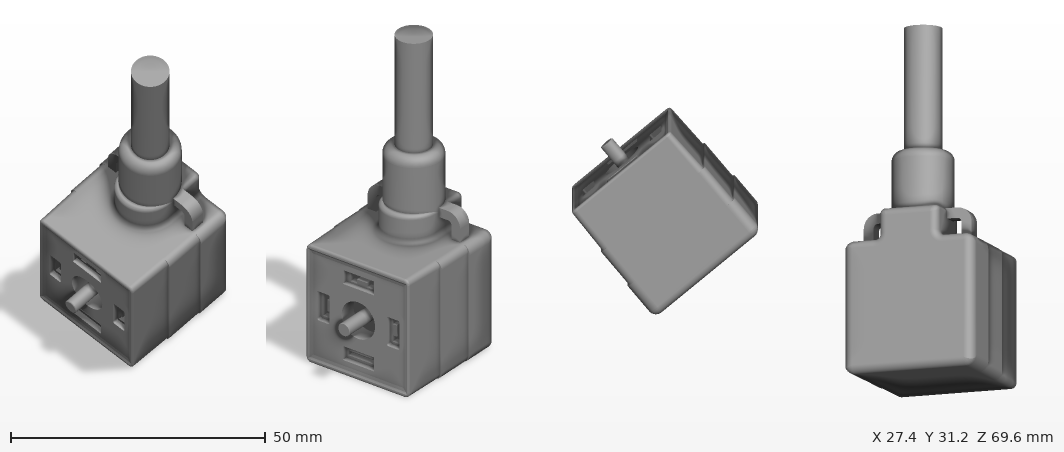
import cadquery as cq

height = 26.5
mid_z = height / 2
back_y = 8.35
step_y = 0.0
second_step_y = -8.6
face_y = -18.5
rear_width, rear_corner = 27.4, 2.0
middle_width, middle_corner = 26.6, 1.6
front_width, front_corner = 25.75, 1.3
face_width, face_corner = 25.2, 1.1
back_round = 1.5
back_corner_round = 1.95
face_round = 0.5

rim_width, rim_height = 24.35, 24.9
border_width, border_height = 23.5, 24.1
panel_width, panel_height = 22.1, 22.75
border_depth = 0.3
panel_depth = 0.4
panel_y = face_y + panel_depth

neck_radius = 6.2
neck_front_center_y = -1.25
neck_top = 32.65
neck_round = 0.9
foot_round = 1.05
grip_diameter = 12.4
grip_top = 44.95
grip_round = 2.0
cable_diameter = 7.6
cable_top = 69.6

loop_width = 22.7
loop_thickness = 2.1
loop_depth = 3.0
loop_radius = 3.0

screw_hole_diameter = 8.2
screw_hole_depth = 3.9
screw_diameter = 2.9
screw_tip_y = -22.8
screw_chamfer = 0.15

slot_depth = 1.2
contact_depth = 1.4
slot_offset = 8.55
side_slot_width, side_slot_height, side_slot_corner = 3.05, 6.55, 0.4
side_contact_width, side_contact_height = 2.0, 5.3
side_key_width, side_key_height = 1.0, 2.5
end_slot_width, end_slot_height = 7.65, 3.1
top_contact_width, top_contact_height = 5.6, 2.2
top_key_width, top_key_height = 2.5, 0.9
bottom_contact_width, bottom_contact_height = 6.75, 1.1
bottom_contact_z = 4.4


def face_plane(y, x=0.0, z=mid_z):
    """Plane with local x along X, local y along Z, extruding toward -Y."""
    return cq.Workplane(cq.Plane((x, y, z), (1, 0, 0), (0, -1, 0)))


def section(y_start, y_end, width, corner):
    block = face_plane(y_start).rect(width, height).extrude(y_start - y_end)
    return block.edges("|Y").fillet(corner)


def rounded_outline(width, tall, corner):
    return cq.Sketch().rect(width, tall).vertices().fillet(corner)


def frustum(y_start, size_start, y_end, size_end):
    start = face_plane(y_start).rect(*size_start)
    return start.workplane(offset=y_start - y_end).rect(*size_end).loft(ruled=True)


def pocket(y_open, depth, x, z, width, tall):
    return face_plane(y_open + depth, x, z).rect(width, tall).extrude(depth)


def make_neck():
    side = neck_radius
    return (
        cq.Workplane("XY", origin=(0, 0, mid_z))
        .moveTo(-side, back_y)
        .lineTo(-side, neck_front_center_y)
        .threePointArc((0, neck_front_center_y - neck_radius), (side, neck_front_center_y))
        .lineTo(side, back_y)
        .close()
        .extrude(neck_top - mid_z)
    )


def make_rear_with_neck():
    body = section(back_y, step_y, rear_width, rear_corner)
    body = body.union(section(step_y, second_step_y, middle_width, middle_corner))
    body = body.union(make_neck())
    foot_line = cq.selectors.BoxSelector(
        (-neck_radius - 0.1, neck_front_center_y - neck_radius - 0.1, height - 0.1),
        (neck_radius + 0.1, back_y - 0.1, height + 0.1),
        boundingbox=False,
    )
    body = body.edges(foot_line).fillet(foot_round)
    body = body.faces(">Z").edges("not >Y").fillet(neck_round)
    body = body.faces(">Y").edges().fillet(back_round)
    depth = back_y - second_step_y
    plan = cq.Workplane("XY", origin=(0, (back_y + second_step_y) / 2, 0)).rect(rear_width, depth)
    return body.intersect(plan.extrude(neck_top).edges("|Z and >Y").fillet(back_corner_round))


def make_front_section():
    front = (
        face_plane(second_step_y)
        .placeSketch(
            rounded_outline(front_width, height, front_corner),
            rounded_outline(face_width, height, face_corner).moved(
                cq.Location(cq.Vector(0, 0, second_step_y - face_y))
            ),
        )
        .loft(ruled=True)
    )
    return front.faces("<Y").edges().fillet(face_round)


def make_loop():
    base = height - 0.7
    inner_width = loop_width - 2 * loop_thickness
    frame = face_plane(loop_depth, z=(base + neck_top) / 2).rect(loop_width, neck_top - base)
    frame = frame.extrude(loop_depth).edges("|Y and >Z").fillet(loop_radius)
    opening_top = neck_top - loop_thickness
    opening = face_plane(loop_depth, z=(base + opening_top) / 2).rect(inner_width, opening_top - base)
    opening = opening.extrude(loop_depth).edges("|Y and >Z").fillet(loop_radius - loop_thickness)
    return frame.cut(opening)


def make_grip_and_cable():
    grip_bottom = neck_top - neck_round
    grip = cq.Workplane("XY", origin=(0, 0, grip_bottom)).circle(grip_diameter / 2)
    grip = grip.extrude(grip_top - grip_bottom).faces(">Z").edges().fillet(grip_round)
    cable = cq.Workplane("XY", origin=(0, 0, grip_bottom)).circle(cable_diameter / 2)
    return grip.union(cable.extrude(cable_top - grip_bottom))


def make_face_recess():
    border_y = face_y + border_depth
    rim = frustum(border_y, (border_width, border_height), face_y, (rim_width, rim_height))
    border = frustum(panel_y, (panel_width, panel_height), border_y, (border_width, border_height))
    return rim.union(border)


def make_side_slot(side):
    x = side * slot_offset
    recess = pocket(panel_y, slot_depth, x, mid_z, side_slot_width, side_slot_height)
    recess = recess.edges("|Y").fillet(side_slot_corner)
    floor_y = panel_y + slot_depth
    contact = pocket(floor_y, contact_depth, x, mid_z, side_contact_width, side_contact_height)
    key_x = x - side * (side_contact_width - side_key_width) / 2
    key = pocket(floor_y, contact_depth, key_x, mid_z, side_key_width, side_key_height)
    return recess.union(contact.cut(key))


def make_top_slot():
    z = mid_z + slot_offset
    recess = pocket(panel_y, slot_depth, 0, z, end_slot_width, end_slot_height)
    floor_y = panel_y + slot_depth
    contact = pocket(floor_y, contact_depth, 0, z, top_contact_width, top_contact_height)
    key_z = z - (top_contact_height - top_key_height) / 2
    key = pocket(floor_y, contact_depth, 0, key_z, top_key_width, top_key_height)
    return recess.union(contact.cut(key))


def make_bottom_slot():
    recess = pocket(panel_y, slot_depth, 0, mid_z - slot_offset, end_slot_width, end_slot_height)
    floor_y = panel_y + slot_depth
    contact = pocket(
        floor_y, contact_depth, 0, bottom_contact_z, bottom_contact_width, bottom_contact_height
    )
    return recess.union(contact)


def make_screw():
    root_y = panel_y + screw_hole_depth
    screw = face_plane(root_y).circle(screw_diameter / 2).extrude(root_y - screw_tip_y)
    return screw.faces("<Y").chamfer(screw_chamfer)


result = make_rear_with_neck().union(make_front_section())
result = result.union(make_loop()).union(make_grip_and_cable())
result = result.cut(make_face_recess())
for side in (-1, 1):
    result = result.cut(make_side_slot(side))
result = result.cut(make_top_slot()).cut(make_bottom_slot())
screw_hole = face_plane(panel_y + screw_hole_depth).circle(screw_hole_diameter / 2)
result = result.cut(screw_hole.extrude(screw_hole_depth)).union(make_screw())